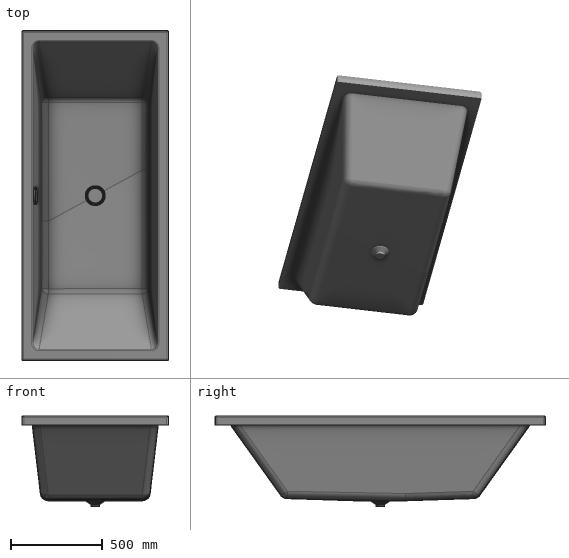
import cadquery as cq
import math

rim_length = 1800.0
rim_width = 801.0
rim_depth = 50.0
rim_corner_radius = 10.0
rim_edge_radius = 9.0

basin_half_width = 340.0
basin_half_length = 840.0
basin_depth = 441.0
side_slope = 0.118
end_slope = 0.715
basin_radius = 36.0
wall = 9.0
lip_radius = 9.0

floor_fall = 13.0
valley_slope = 0.545
valley_depth = basin_depth + floor_fall

overall_height = 493.0
drain_flange_diameter = 108.0
drain_radius = drain_flange_diameter / 2
drain_flange_thickness = 5.0
drain_neck_diameter = 95.0
drain_pipe_diameter = 49.0
drain_pipe_length = 10.0
drain_cone_height = 16.0
drain_seat_diameter = 88.0
drain_seat_depth = 9.0
plug_diameter = 81.0
plug_thickness = 7.0

overflow_depth = 75.0
overflow_disc_diameter = 95.0
overflow_disc_thickness = 10.0
overflow_disc_chamfer = 4.0
overflow_pipe_diameter = 52.0
overflow_bore_diameter = 38.0


def wall_prism(plane, half_size, slope, length):
    """Symmetric prism whose two flat walls lean inward going down from Z = 0."""
    bottom = overall_height
    half_bottom = half_size - slope * bottom
    outline = [(-half_size, 0), (half_size, 0), (half_bottom, -bottom), (-half_bottom, -bottom)]
    return cq.Workplane(plane).polyline(outline).close().extrude(length / 2, both=True)


def below_floor(end_y, end_depth):
    """Block under the floor; its ruled top runs from each level end to the diagonal valley."""
    half_width = rim_width / 2
    block_bottom = -(end_depth + overall_height)

    def section(y, skew, top):
        left = (-half_width, y - skew)
        right = (half_width, y + skew)
        corners = [(*left, block_bottom), (*right, block_bottom), (*right, top), (*left, top)]
        return cq.Wire.makePolygon([cq.Vector(*corner) for corner in corners], close=True)

    end_a = section(-end_y, 0, -end_depth)
    valley = section(0, valley_slope * half_width, -(end_depth + floor_fall))
    end_b = section(end_y, 0, -end_depth)
    return [cq.Solid.makeLoft([end, valley], True) for end in (end_a, end_b)]


def basin_form(offset):
    """Solid filling the basin, grown outward by offset from the inner surface."""
    half_width = basin_half_width + offset * math.hypot(1, side_slope)
    half_length = basin_half_length + offset * math.hypot(1, end_slope)
    end_depth = basin_depth + offset
    floor_end_y = half_length - end_slope * end_depth
    form = wall_prism("XZ", half_width, side_slope, rim_length)
    form = form.intersect(wall_prism("YZ", half_length, end_slope, rim_length))
    for block in below_floor(floor_end_y, end_depth):
        form = form.cut(cq.Workplane(block))
    below_rim = cq.selectors.BoxSelector(
        (-rim_width, -rim_length, -overall_height), (rim_width, rim_length, -rim_depth)
    )
    valley_edge = cq.selectors.BoxSelector(
        (-drain_radius, -drain_radius, -overall_height), (drain_radius, drain_radius, -basin_depth)
    )
    return form.edges(below_rim - valley_edge).fillet(basin_radius + offset)


drain_top = -valley_depth
overflow_x = -(basin_half_width - side_slope * overflow_depth)
overflow_seat = cq.Plane(
    origin=(overflow_x, 0, -overflow_depth), xDir=(0, 1, 0), normal=(1, 0, side_slope)
)


def drain_disc(diameter, top, thickness):
    """Level disc on the drain axis, going down from top."""
    return cq.Workplane("XY", origin=(0, 0, top)).circle(diameter / 2).extrude(-thickness)


def overflow_cylinder(diameter, height):
    """Cylinder square to the side wall; a negative height runs outward through it."""
    return cq.Workplane(overflow_seat).circle(diameter / 2).extrude(height)


def drain_envelope():
    """Turned outside of the drain fitting: flange, neck, cone and pipe."""
    neck_radius = drain_neck_diameter / 2
    pipe_radius = drain_pipe_diameter / 2
    flange_bottom = drain_top - drain_flange_thickness
    cone_bottom = -overall_height + drain_pipe_length
    cone_top = cone_bottom + drain_cone_height
    profile = [
        (0, drain_top),
        (drain_radius, drain_top),
        (drain_radius, flange_bottom),
        (neck_radius, flange_bottom),
        (neck_radius, cone_top),
        (pipe_radius, cone_bottom),
        (pipe_radius, -overall_height),
        (0, -overall_height),
    ]
    return cq.Workplane("XZ").polyline(profile).close().revolve(360, (0, 0), (0, 1))


def make_tub():
    rim = cq.Workplane("XY").box(rim_width, rim_length, rim_depth, centered=(True, True, False))
    rim = rim.translate((0, 0, -rim_depth))
    rim = rim.edges("|Z").fillet(rim_corner_radius).faces(">Z").edges().fillet(rim_edge_radius)
    tub = rim.union(basin_form(wall)).cut(basin_form(0))
    lip = cq.selectors.BoxSelector(
        (-basin_half_width - wall, -basin_half_length - wall, -wall),
        (basin_half_width + wall, basin_half_length + wall, wall),
    )
    tub = tub.edges(lip).fillet(lip_radius)
    tub = tub.cut(drain_envelope())
    tub = tub.cut(drain_disc(drain_flange_diameter, drain_top, -floor_fall))
    return tub.cut(overflow_cylinder(overflow_pipe_diameter, -2 * wall))


def make_drain():
    seat = drain_disc(drain_seat_diameter, drain_top, drain_seat_depth)
    return drain_envelope().cut(seat)


def make_plug():
    seat_floor = drain_top - drain_seat_depth
    return drain_disc(plug_diameter, seat_floor + plug_thickness, plug_thickness)


def make_overflow():
    disc = overflow_cylinder(overflow_disc_diameter, overflow_disc_thickness)
    front_edge = cq.selectors.DirectionMinMaxSelector(overflow_seat.zDir)
    disc = disc.edges(front_edge).chamfer(overflow_disc_chamfer)
    pipe = overflow_cylinder(overflow_pipe_diameter, -wall)
    bore = overflow_cylinder(overflow_bore_diameter, -wall)
    return disc.union(pipe).cut(bore)


tub = make_tub()
drain = make_drain()
plug = make_plug()
overflow = make_overflow()

result = cq.Compound.makeCompound([tub.val(), drain.val(), plug.val(), overflow.val()])